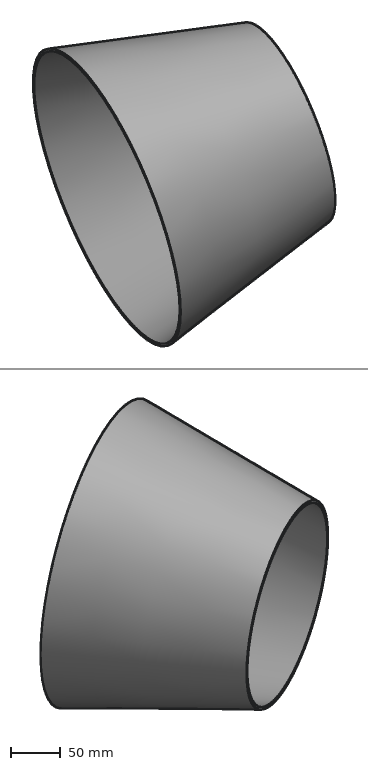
import cadquery as cq

large_diameter = 324.0
small_diameter = 219.0
length = 203.0
wall = 3.0

large_radius = large_diameter / 2
small_radius = small_diameter / 2

wall_section = (
    cq.Workplane("XY")
    .moveTo(large_radius - wall, 0)
    .lineTo(large_radius, 0)
    .lineTo(small_radius, length)
    .lineTo(small_radius - wall, length)
    .close()
)

result = wall_section.revolve(360, (0, 0, 0), (0, 1, 0))